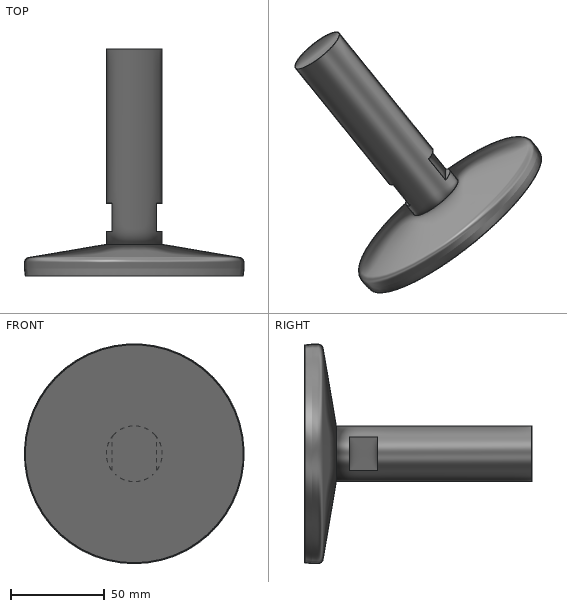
import cadquery as cq
import math

face_radius = 58.5
taper_height = 4.0
taper_angle = 7.0
plate_radius = face_radius + taper_height * math.tan(math.radians(taper_angle))
rim_height = 7.0
rounding_radius = 3.0

stem_radius = 15.0
stem_start = 17.0
total_length = 122.0

flats_width = 24.0
flats_start = 24.0
flats_length = 15.0


def rounding_points():
    """Middle and end of the rounding arc, which runs tangent into the cone."""
    center_radius = plate_radius - rounding_radius
    run = center_radius - stem_radius
    rise = stem_start - rim_height
    end_angle = math.atan2(rise, -run) - math.acos(rounding_radius / math.hypot(run, rise))

    def on_arc(angle):
        return (
            center_radius + rounding_radius * math.cos(angle),
            rim_height + rounding_radius * math.sin(angle),
        )

    return on_arc(end_angle / 2), on_arc(end_angle)


def make_body():
    """Plate, cone and stem as one half profile revolved about the Y axis."""
    arc_middle, arc_end = rounding_points()
    profile_plane = cq.Plane(origin=(0, 0, 0), xDir=(0, 0, -1), normal=(1, 0, 0))
    return (
        cq.Workplane(profile_plane)
        .moveTo(0, 0)
        .lineTo(face_radius, 0)
        .lineTo(plate_radius, taper_height)
        .lineTo(plate_radius, rim_height)
        .threePointArc(arc_middle, arc_end)
        .lineTo(stem_radius, stem_start)
        .lineTo(stem_radius, total_length)
        .lineTo(0, total_length)
        .close()
        .revolve(360, (0, 0, 0), (0, 1, 0))
    )


def make_flat_cutter(side):
    """Block that removes the stem outside one flat; side is -1 or +1 along X."""
    depth = stem_radius
    return cq.Workplane("XY").box(depth, flats_length, 2 * stem_radius).translate(
        (side * (flats_width + depth) / 2, flats_start + flats_length / 2, 0)
    )


result = make_body()
for side in (-1, 1):
    result = result.cut(make_flat_cutter(side))